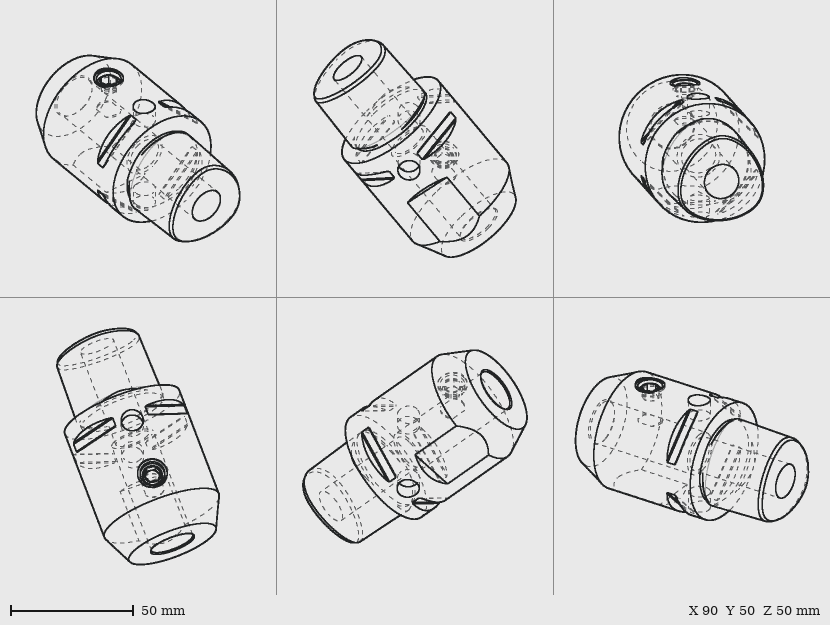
import cadquery as cq
import math

total_length = 90.0
body_length = 60.0

body_radius = 25.0
nose_radius = 19.0
nose_angle = 25.0

bore_radius = 9.0
bore_depth = 48.0
bore_chamfer = 0.5
through_radius = 7.2

shank_mean_radius = 18.5
lobe_height = 1.0
shank_points = 72
collar_length = 3.0
shank_taper = 1 / 40
tip_chamfer_length = 1.4
tip_chamfer_height = 0.8
neck_radius = 17.9

flat_height = 22.95
flat_length = 35.3

groove_offset = 10.0
groove_radius = 22.0
groove_floor_width = 3.4
groove_corner_width = 4.3
groove_corner_height = 0.4
groove_mouth_width = 6.5
groove_angles = (45, 135, 225, 315)

blind_x = 47.9
blind_radius = 4.5
blind_depth = 7.2
drill_angle = 118.0

screw_x = 23.9
spotface_radius = 6.0
spotface_z = 24.1
screw_radius = 5.0
screw_shoulder_z = 21.8
screw_crown_z = 23.4
crown_base_radius = 4.05
screw_tip_z = 8.1
socket_width = 6.0
socket_depth = 4.5
socket_turn = -8.0


def revolved(points):
    """Revolve an outline of (x, radius) points about the X axis."""
    return cq.Workplane("XY").polyline(points).close().revolve(360, (0, 0, 0), (1, 0, 0))


def drill_point(radius):
    """Depth of the cone left by a drill of the given radius."""
    return radius / math.tan(math.radians(drill_angle / 2))


def body():
    nose_length = (body_radius - nose_radius) / math.tan(math.radians(nose_angle))
    return revolved([
        (0, 0),
        (0, nose_radius),
        (nose_length, body_radius),
        (body_length, body_radius),
        (body_length, 0),
    ])


def lobed_wire(x, inset):
    """Constant-width three-lobed outline at x, one lobe up, moved inward by inset."""
    points = []
    for i in range(shank_points):
        angle = 2 * math.pi * i / shank_points
        reach = shank_mean_radius - inset + lobe_height * math.cos(3 * angle)
        slide = -3 * lobe_height * math.sin(3 * angle)
        z = reach * math.cos(angle) - slide * math.sin(angle)
        y = reach * math.sin(angle) + slide * math.cos(angle)
        points.append(cq.Vector(x, y, z))
    return cq.Wire.assembleEdges([cq.Edge.makeSpline(points, periodic=True)])


def shank():
    collar_end = body_length + collar_length
    chamfer_start = total_length - tip_chamfer_length
    taper_inset = (chamfer_start - collar_end) * shank_taper
    stations = [
        (body_length, 0),
        (collar_end, 0),
        (chamfer_start, taper_inset),
        (total_length, taper_inset + tip_chamfer_height),
    ]
    solid = cq.Workplane("XY")
    for start, end in zip(stations, stations[1:]):
        section = cq.Solid.makeLoft([lobed_wire(*start), lobed_wire(*end)], True)
        solid = solid.union(cq.Workplane(section))
    return solid


def shank_relief():
    """Ring that turns the lobes down to a round neck beside the body."""
    collar_end = body_length + collar_length
    relief_radius = shank_mean_radius + 2 * lobe_height
    cone_end = collar_end + lobe_height
    cone_start = cone_end - (relief_radius - neck_radius)
    return revolved([
        (body_length, neck_radius),
        (cone_start, neck_radius),
        (cone_end, relief_radius),
        (body_length, relief_radius),
    ])


def bore():
    lead_radius = bore_radius + bore_chamfer
    return revolved([
        (0, 0),
        (0, lead_radius),
        (bore_chamfer, bore_radius),
        (bore_depth, bore_radius),
        (bore_depth, through_radius),
        (total_length, through_radius),
        (total_length, 0),
    ])


def underside_flat():
    height = body_radius - flat_height
    return (
        cq.Workplane("XZ")
        .moveTo(0, -flat_height)
        .lineTo(flat_length, -flat_height)
        .lineTo(flat_length + height, -body_radius)
        .lineTo(0, -body_radius)
        .close()
        .extrude(body_radius, both=True)
    )


def gripper_groove(angle):
    """Straight groove across the body with sloping walls, turned about X."""
    center_x = body_length - groove_offset
    half_profile = [
        (groove_floor_width / 2, groove_radius),
        (groove_corner_width / 2, groove_radius + groove_corner_height),
        (groove_mouth_width / 2, body_radius),
    ]
    right = [(center_x + half, z) for half, z in half_profile]
    left = [(center_x - half, z) for half, z in reversed(half_profile)]
    groove = cq.Workplane("XZ").polyline(right + left).close().extrude(body_radius, both=True)
    return groove.rotate((0, 0, 0), (1, 0, 0), angle)


def blind_hole():
    floor_z = body_radius - blind_depth
    return (
        cq.Workplane("XZ")
        .polyline([
            (blind_x, body_radius),
            (blind_x + blind_radius, body_radius),
            (blind_x + blind_radius, floor_z),
            (blind_x, floor_z - drill_point(blind_radius)),
        ])
        .close()
        .revolve(360, (blind_x, 0, 0), (blind_x, 1, 0))
    )


def at_screw(z):
    return cq.Workplane("XY", origin=(screw_x, 0, z))


def screw_hole():
    """Spotface and the hole that the screw fills up to its shoulder."""
    spotface = at_screw(spotface_z).circle(spotface_radius).extrude(body_radius - spotface_z)
    hole = at_screw(screw_tip_z).circle(screw_radius).extrude(body_radius - screw_tip_z)
    return spotface.union(hole)


def screw():
    """Screw with a conical crown around a hexagon socket; its tip enters the bore."""
    socket_corner_radius = socket_width / 2 / math.cos(math.pi / 6)
    shaft = at_screw(screw_tip_z).circle(screw_radius).extrude(screw_shoulder_z - screw_tip_z)
    crown = (
        at_screw(screw_shoulder_z)
        .circle(crown_base_radius)
        .workplane(offset=screw_crown_z - screw_shoulder_z)
        .circle(socket_corner_radius)
        .loft()
    )
    socket_floor_z = screw_crown_z - socket_depth
    socket = (
        at_screw(socket_floor_z)
        .transformed(rotate=(0, 0, 30 + socket_turn))
        .polygon(6, 2 * socket_corner_radius)
        .extrude(socket_depth)
    )
    drilled_floor = cq.Workplane(cq.Solid.makeCone(
        socket_width / 2,
        0,
        drill_point(socket_width / 2),
        pnt=cq.Vector(screw_x, 0, socket_floor_z),
        dir=cq.Vector(0, 0, -1),
    ))
    return shaft.union(crown).cut(socket).cut(drilled_floor)


holder = body().union(shank().cut(shank_relief())).cut(bore()).cut(underside_flat())
for groove_angle in groove_angles:
    holder = holder.cut(gripper_groove(groove_angle))
for hole_angle in (0, 180):
    holder = holder.cut(blind_hole().rotate((0, 0, 0), (1, 0, 0), hole_angle))

result = holder.cut(screw_hole()).union(screw())